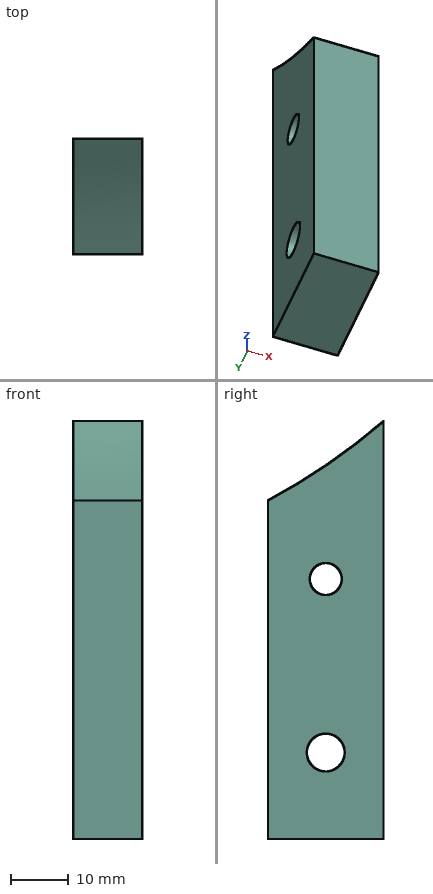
import cadquery as cq
import math

thickness = 12.0
width = 20.0
height = 72.3
short_side_height = 58.55
end_arc_radius = 109.9
upper_hole_diameter = 5.5
upper_hole_height = 45.0
lower_hole_diameter = 6.5
lower_hole_height = 15.0

chord = math.hypot(width, height - short_side_height)
sagitta = end_arc_radius - math.sqrt(end_arc_radius**2 - (chord / 2) ** 2)
arc_mid_y = width / 2 + sagitta * (height - short_side_height) / chord
arc_mid_z = (height + short_side_height) / 2 - sagitta * width / chord


def make_bar():
    """Flat bar along Z whose slanted upper end is scooped by a shallow arc."""
    return (
        cq.Workplane("YZ")
        .lineTo(width, 0)
        .lineTo(width, height)
        .threePointArc((arc_mid_y, arc_mid_z), (0, short_side_height))
        .close()
        .extrude(thickness)
    )


def make_hole(diameter, hole_height):
    """Cutter through the thickness, centred across the width."""
    return (
        cq.Workplane("YZ")
        .center(width / 2, hole_height)
        .circle(diameter / 2)
        .extrude(thickness)
    )


result = make_bar()
for diameter, hole_height in (
    (upper_hole_diameter, upper_hole_height),
    (lower_hole_diameter, lower_hole_height),
):
    result = result.cut(make_hole(diameter, hole_height))